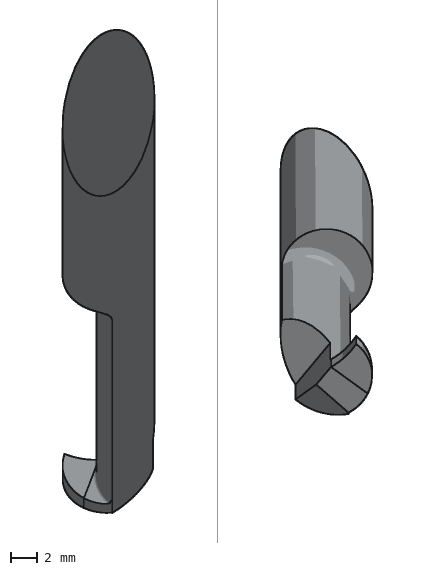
import cadquery as cq
import math

bar_length = 53.3
bar_radius = 3.49
bevel_angle = 60

neck_offset = 2.7
shoulder_height = 26.35
shoulder_fillet = 0.9

back_flat_y = 0.24
back_flat_height = 6.35

head_height = 2.0
relief_angle = 5
side_angle = 2
corner_chamfer = 2.65
flank_radius = 3.4
foot_fillet = 0.3

tip_joint_x = -0.85
tip_edge_y = -0.1
rake_sag = 0.15

bevel_slope = math.tan(math.radians(bevel_angle))
relief_slope = math.tan(math.radians(relief_angle))
side_slope = math.tan(math.radians(side_angle))
head_space = 2 * head_height


def make_bar():
    """Full round bar with its slanted upper end."""
    bevel_low = bar_length - 2 * bar_radius * bevel_slope
    profile = (
        cq.Workplane("YZ")
        .moveTo(-bar_radius, 0)
        .lineTo(bar_radius, 0)
        .lineTo(bar_radius, bar_length)
        .lineTo(-bar_radius, bevel_low)
        .close()
        .extrude(bar_radius, both=True)
    )
    return cq.Workplane("XY").circle(bar_radius).extrude(bar_length).intersect(profile)


def make_neck_void():
    """Space around the neck, flared out by a fillet removed below the shoulder."""
    flare_radius = bar_radius + shoulder_fillet
    flare_start = shoulder_height - shoulder_fillet
    fillet_mid = shoulder_fillet * (1 - math.sqrt(0.5))
    neck = (
        cq.Workplane("XZ")
        .lineTo(bar_radius, 0)
        .lineTo(bar_radius, flare_start)
        .threePointArc(
            (bar_radius + fillet_mid, shoulder_height - fillet_mid),
            (flare_radius, shoulder_height),
        )
        .lineTo(0, shoulder_height)
        .close()
        .revolve(360, (0, 0), (0, 1))
        .translate((neck_offset, 0, 0))
    )
    around = cq.Workplane("XY").circle(2 * bar_radius).extrude(shoulder_height)
    return around.cut(neck)


def slanted_void(edge_height, y_fall, x_rise, outer_height):
    """Space between a level outer_height and a head face tilted in both directions.

    The face has edge_height at the cutting point, falls by y_fall along +Y
    and rises by x_rise along +X.
    """
    front_height = edge_height + (bar_radius + tip_edge_y) * y_fall
    back_height = edge_height - (bar_radius - tip_edge_y) * y_fall
    section = cq.Wire.makePolygon(
        [
            cq.Vector(-bar_radius, -bar_radius, front_height),
            cq.Vector(-bar_radius, bar_radius, back_height),
            cq.Vector(-bar_radius, bar_radius, outer_height),
            cq.Vector(-bar_radius, -bar_radius, outer_height),
        ],
        close=True,
    )
    width = 2 * bar_radius
    direction = cq.Vector(width, 0, width * x_rise)
    return cq.Workplane(cq.Solid.extrudeLinear(section, [], direction))


def make_back_cut():
    """Space behind the flat, running out at the bevel angle."""
    run_out_top = back_flat_height + (bar_radius - back_flat_y) * bevel_slope
    return (
        cq.Workplane("YZ")
        .moveTo(back_flat_y, 0)
        .lineTo(bar_radius, 0)
        .lineTo(bar_radius, run_out_top)
        .lineTo(back_flat_y, back_flat_height)
        .close()
        .extrude(bar_radius, both=True)
    )


def make_corner_cut():
    """Triangular space below the 45 degree corner on the +X side."""
    return (
        cq.Workplane("XZ")
        .moveTo(bar_radius, 0)
        .lineTo(bar_radius, corner_chamfer)
        .lineTo(bar_radius - corner_chamfer, 0)
        .close()
        .extrude(bar_radius, both=True)
    )


def make_flank_void():
    """Thin crescent that sets the head's round flank back from the bar surface."""
    flank = (
        cq.Workplane("XY")
        .center(flank_radius - bar_radius, 0)
        .circle(flank_radius)
        .extrude(head_height)
    )
    crescent_width = bar_radius + neck_offset / 2
    return (
        cq.Workplane("XY")
        .box(crescent_width, 2 * bar_radius, head_height, centered=(False, True, False))
        .translate((-bar_radius, 0, 0))
        .cut(flank)
    )


def make_tip_space():
    """Plan outline of the tip, from the flat joint to beyond the bar, with a hollow rake face."""
    rake_mid_x = (tip_joint_x - bar_radius) / 2
    rake_mid_y = (back_flat_y + tip_edge_y) / 2 - rake_sag
    return (
        cq.Workplane("XY")
        .moveTo(tip_joint_x, -bar_radius)
        .lineTo(tip_joint_x, back_flat_y)
        .threePointArc((rake_mid_x, rake_mid_y), (-bar_radius, tip_edge_y))
        .lineTo(-bar_radius, -bar_radius)
        .close()
        .extrude(head_space)
    )


def make_blank():
    """Complete tool outline, before it is divided at the tip joint."""
    head_top = slanted_void(head_height, -relief_slope, -side_slope, bar_length)
    head_bottom = slanted_void(0, relief_slope, side_slope, -bar_radius)
    blank = make_bar().cut(make_neck_void().intersect(head_top))
    neck_foot = cq.selectors.BoxSelector(
        (-bar_radius / 2, -bar_radius / 2, head_height / 2),
        (bar_radius / 2, bar_radius / 2, head_space),
    )
    return (
        blank.edges(neck_foot)
        .fillet(foot_fillet)
        .cut(make_back_cut())
        .cut(make_corner_cut())
        .cut(head_bottom)
        .cut(make_flank_void())
    )


def make_shank(blank):
    """Bar with neck and head, ending at the flat tip joint."""
    tip_side = (
        cq.Workplane("XY")
        .box(bar_radius + tip_joint_x, 2 * bar_radius, head_space, centered=(False, True, False))
        .translate((-bar_radius, 0, 0))
    )
    return blank.cut(tip_side)


def make_tip(blank):
    """Cutting tip that continues the head to the -X side."""
    return blank.intersect(make_tip_space())


blank = make_blank()
shank = make_shank(blank)
tip = make_tip(blank)

result = cq.Compound.makeCompound([shank.val(), tip.val()])